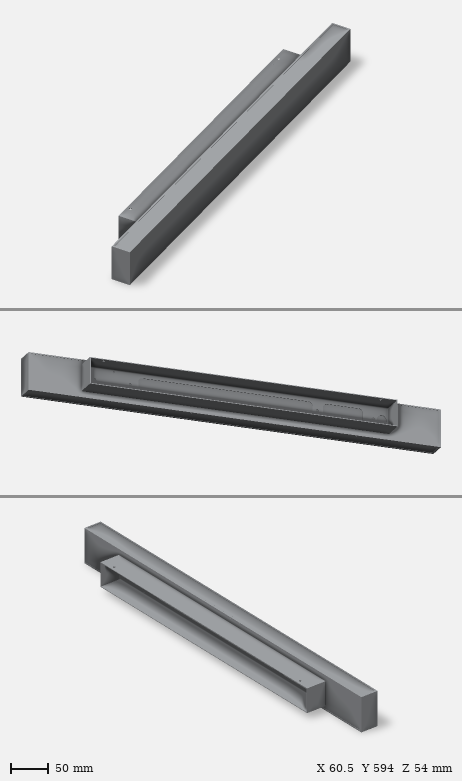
import cadquery as cq

BODY_DEPTH = 28.0
BODY_LENGTH = 594.0
BODY_HEIGHT = 54.0
PANEL_RECESS = 0.5
BACK_RIM = 2.0
SIDE_RIM = 2.7

HOUSING_REACH = 32.5
HOUSING_LENGTH = 443.0
HOUSING_HEIGHT = 38.0
WALL = 1.0
INNER_BEND = 1.5
OUTER_BEND = INNER_BEND + WALL
RIM_X = -HOUSING_REACH
SEAT_X = PANEL_RECESS
FLOOR_X = SEAT_X - WALL

WINDOWS = [(13.5, 251.0), (-155.5, 57.5)]
WINDOW_HEIGHT = 24.0
WINDOW_CORNER = 6.0

CABLE_HOLE_Y = -211.5
CABLE_HOLE_DIAMETER = 13.5
SCREW_HOLE_DIAMETER = 4.0
SCREW_HOLE_YS = [202.0, 151.0, -119.0, -199.0]
PIN_HOLE_DIAMETER = 3.0
PIN_HOLE_PLACES = [(174.5, 15.0), (168.5, -15.0)]

TOP_HOLE_DIAMETER = 3.5
TOP_HOLE_FROM_RIM = 6.0
TOP_HOLE_Y = 199.5


def block(x_start, x_end, length, height):
    """Box between two X planes, centred on Y = 0 and Z = 0."""
    depth = x_end - x_start
    return cq.Workplane("XY").box(depth, length, height).translate((x_start + depth / 2, 0, 0))


def make_light_body():
    body = block(0, BODY_DEPTH, BODY_LENGTH, BODY_HEIGHT)
    back_panel = block(0, PANEL_RECESS, BODY_LENGTH - 2 * BACK_RIM, BODY_HEIGHT - 2 * BACK_RIM)
    body = body.cut(back_panel)
    side_panel = block(SIDE_RIM, BODY_DEPTH - SIDE_RIM, BODY_LENGTH - 2 * SIDE_RIM, PANEL_RECESS)
    panel_z = (BODY_HEIGHT - PANEL_RECESS) / 2
    for z in (-panel_z, panel_z):
        body = body.cut(side_panel.translate((0, 0, z)))
    return body


def make_tray():
    tray = block(RIM_X, SEAT_X, HOUSING_LENGTH, HOUSING_HEIGHT)
    tray = tray.faces(">X").edges().fillet(OUTER_BEND)
    inside = block(RIM_X, FLOOR_X, HOUSING_LENGTH - 2 * WALL, HOUSING_HEIGHT - 2 * WALL)
    inside = inside.faces(">X").edges().fillet(INNER_BEND)
    return tray.cut(inside)


def floor_window(y, length):
    window = block(FLOOR_X, SEAT_X, length, WINDOW_HEIGHT).edges("|X").fillet(WINDOW_CORNER)
    return window.translate((0, y, 0))


def floor_hole(y, z, diameter):
    return cq.Workplane("YZ", origin=(FLOOR_X, y, z)).circle(diameter / 2).extrude(WALL)


def top_hole(y):
    start = (RIM_X + TOP_HOLE_FROM_RIM, y, HOUSING_HEIGHT / 2 - WALL)
    return cq.Workplane("XY", origin=start).circle(TOP_HOLE_DIAMETER / 2).extrude(WALL)


def make_housing():
    housing = make_tray()
    for y, length in WINDOWS:
        housing = housing.cut(floor_window(y, length))
    housing = housing.cut(floor_hole(CABLE_HOLE_Y, 0, CABLE_HOLE_DIAMETER))
    for y in SCREW_HOLE_YS:
        housing = housing.cut(floor_hole(y, 0, SCREW_HOLE_DIAMETER))
    for y, z in PIN_HOLE_PLACES:
        housing = housing.cut(floor_hole(y, z, PIN_HOLE_DIAMETER))
    for y in (-TOP_HOLE_Y, TOP_HOLE_Y):
        housing = housing.cut(top_hole(y))
    return housing


light_body = make_light_body()
housing = make_housing()

result = cq.Compound.makeCompound([light_body.val(), housing.val()])